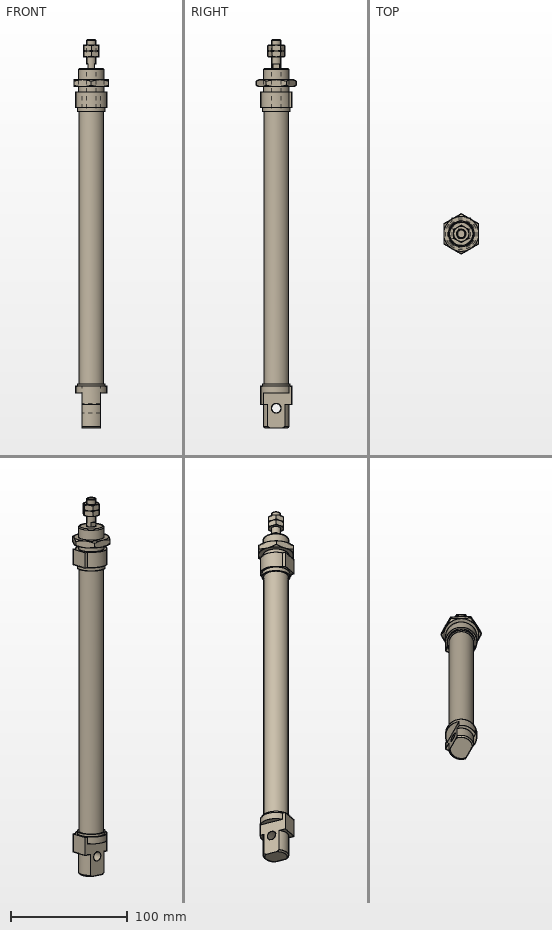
import cadquery as cq
import math


total_length = 332.0
rear_cap_bottom = 20.0
lug_shoulder = 30.0
rear_cap_top = 36.0
rear_collar_top = 38.0
front_collar_bottom = 270.5
front_cap_bottom = 274.0
front_cap_top = 287.5
neck_top = 307.5
rod_seat = front_collar_bottom

tube_diameter = 21.2
collar_diameter = 24.0
cap_diameter = 27.0
neck_diameter = 22.0
lug_diameter = 22.0
lug_thickness = 16.0
neck_chamfer = 1.0
lug_chamfer = 1.3
port_pad_width = lug_thickness
pin_hole_diameter = 8.0
pin_hole_height = 17.0

rod_diameter = 8.0
rod_tip_chamfer = 0.5
rod_flat_width = 6.0
rod_flat_top = 311.5

mounting_nut_width = 30.0
mounting_nut_height = 6.0
mounting_nut_bottom = 291.8
rod_nut_width = 13.0
rod_nut_height = 5.0
rod_nut_count = 2
rod_nuts_bottom = 317.5
nut_bevel_angle = 30.0
nut_sides = 6
nut_turn = 180 / nut_sides


def disc(diameter, bottom, top):
    return cq.Workplane("XY").workplane(offset=bottom).circle(diameter / 2).extrude(top - bottom)


def side_slabs(width, bottom, top):
    """Two blocks outside x = +/- width / 2, for cutting a pair of flats."""
    depth = cap_diameter
    return (
        cq.Workplane("XY")
        .workplane(offset=bottom)
        .pushPoints([(-(width + depth) / 2, 0), ((width + depth) / 2, 0)])
        .rect(depth, 2 * depth)
        .extrude(top - bottom)
    )


def cap(bottom, top):
    """Round cap with a square-sided port pad that ends flush with its +Y side."""
    pad_length = cap_diameter / 2
    pad = (
        cq.Workplane("XY")
        .workplane(offset=bottom)
        .center(0, pad_length / 2)
        .rect(port_pad_width, pad_length)
        .extrude(top - bottom)
    )
    return disc(cap_diameter, bottom, top).union(pad)


def make_housing():
    """Tube with its rear lug, both end caps and collars, neck and rod bore."""
    lug = disc(lug_diameter, 0, rear_cap_bottom).faces("<Z").chamfer(lug_chamfer)
    flats = side_slabs(lug_thickness, 0, lug_shoulder)
    rear = lug.union(cap(rear_cap_bottom, rear_cap_top)).cut(flats)
    pin_hole = (
        cq.Workplane("YZ")
        .center(0, pin_hole_height)
        .circle(pin_hole_diameter / 2)
        .extrude(lug_thickness, both=True)
    )
    neck = disc(neck_diameter, front_cap_top, neck_top).faces(">Z").chamfer(neck_chamfer)
    rod_bore = disc(rod_diameter, rod_seat, neck_top)
    return (
        rear.cut(pin_hole)
        .union(disc(collar_diameter, rear_cap_top, rear_collar_top))
        .union(disc(tube_diameter, rear_collar_top, front_collar_bottom))
        .union(disc(collar_diameter, front_collar_bottom, front_cap_bottom))
        .union(cap(front_cap_bottom, front_cap_top))
        .union(neck)
        .cut(rod_bore)
    )


def make_rod():
    """Rod seated in the neck, with a bevelled tip and a pair of spanner flats."""
    rod = disc(rod_diameter, rod_seat, total_length).faces(">Z").chamfer(rod_tip_chamfer)
    return rod.cut(side_slabs(rod_flat_width, neck_top, rod_flat_top))


def make_nut(width, height, hole_diameter, bottom):
    """Hexagon nut whose corners are bevelled at both ends."""
    corner_radius = width / math.sqrt(3)
    bevel = (corner_radius - width / 2) * math.tan(math.radians(nut_bevel_angle))
    hexagon = (
        cq.Workplane("XY")
        .polygon(nut_sides, 2 * corner_radius)
        .extrude(height)
        .rotate((0, 0, 0), (0, 0, 1), nut_turn)
    )
    bevel_envelope = (
        cq.Workplane("XZ")
        .polyline([
            (0, 0),
            (width / 2, 0),
            (corner_radius, bevel),
            (corner_radius, height - bevel),
            (width / 2, height),
            (0, height),
        ])
        .close()
        .revolve(360, (0, 0, 0), (0, 1, 0))
    )
    nut = hexagon.intersect(bevel_envelope).cut(disc(hole_diameter, 0, height))
    return nut.translate((0, 0, bottom))


housing = make_housing()
rod = make_rod()
mounting_nut = make_nut(mounting_nut_width, mounting_nut_height, neck_diameter, mounting_nut_bottom)
rod_nuts = []
for index in range(rod_nut_count):
    nut_bottom = rod_nuts_bottom + index * rod_nut_height
    rod_nuts.append(make_nut(rod_nut_width, rod_nut_height, rod_diameter, nut_bottom))

result = cq.Compound.makeCompound(
    [housing.val(), rod.val(), mounting_nut.val(), *[nut.val() for nut in rod_nuts]]
)